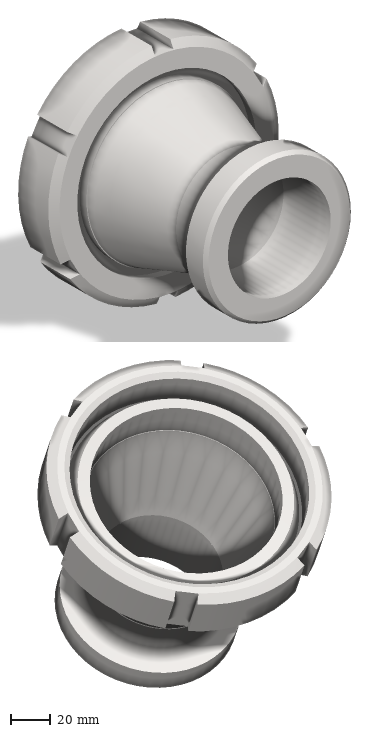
import cadquery as cq
import math


nut_diameter = 148.0
nut_length = 30.9
nut_face_diameter = 137.8
nut_chamfer_length = 2.8
thread_diameter = 124.3
thread_mouth_diameter = 130.4
thread_mouth_depth = 1.8
nut_neck_hole_diameter = 115.0
nut_lip_thickness = 5.2
slot_count = 6
slot_width = 12.0
slot_turn = 1.3

liner_front = 10.7
liner_tip = 11.4
liner_end = 31.5
liner_bore_diameter = 100.0
liner_pipe_diameter = 104.0
liner_tip_diameter = 112.5
liner_cone_diameter = 121.3
liner_shoulder = 21.2

reducer_end = 85.8
edge_step = 0.52
reducer_wide_bore_diameter = 99.3

ferrule_end = 125.5
ferrule_bore_diameter = 66.0
ferrule_pipe_diameter = 72.0
flange_diameter = 95.0
flange_chamfer = 2.0
flange_rim_front = 109.2
fillet_start = 103.3
fillet_end_diameter = 80.8
flange_back_angle = math.radians(7.5)


def turn(profile):
    """Revolve a closed (X, radius) profile about the X axis."""
    return profile.close().revolve(360, (0, 0, 0), (1, 0, 0))


def make_nut_ring():
    outer_radius = nut_diameter / 2
    face_radius = nut_face_diameter / 2
    thread_radius = thread_diameter / 2
    mouth_radius = thread_mouth_diameter / 2
    hole_radius = nut_neck_hole_diameter / 2
    lip_front = nut_length - nut_lip_thickness
    return turn(
        cq.Workplane("XY")
        .moveTo(0, mouth_radius)
        .lineTo(0, face_radius)
        .lineTo(nut_chamfer_length, outer_radius)
        .lineTo(nut_length - nut_chamfer_length, outer_radius)
        .lineTo(nut_length, face_radius)
        .lineTo(nut_length, hole_radius)
        .lineTo(lip_front, hole_radius)
        .lineTo(lip_front, thread_radius)
        .lineTo(thread_mouth_depth, thread_radius)
    )


def make_nut():
    nut = make_nut_ring()
    slot_floor = nut_face_diameter / 2
    slot_cutter = cq.Workplane("XY").box(
        nut_length, slot_width, nut_diameter / 2, centered=(False, True, False)
    ).translate((0, 0, slot_floor))
    for index in range(slot_count):
        angle = slot_turn + index * 360 / slot_count
        nut = nut.cut(slot_cutter.rotate((0, 0, 0), (1, 0, 0), angle))
    return nut


def make_liner():
    bore_radius = liner_bore_diameter / 2
    pipe_radius = liner_pipe_diameter / 2
    collar_radius = thread_diameter / 2
    collar_back = nut_length - nut_lip_thickness
    return turn(
        cq.Workplane("XY")
        .moveTo(liner_front, bore_radius)
        .lineTo(liner_tip, liner_tip_diameter / 2)
        .lineTo(liner_shoulder, liner_cone_diameter / 2)
        .lineTo(liner_shoulder, collar_radius)
        .lineTo(collar_back, collar_radius)
        .lineTo(collar_back, pipe_radius)
        .lineTo(liner_end, pipe_radius)
        .lineTo(liner_end, bore_radius)
    )


def make_reducer():
    return turn(
        cq.Workplane("XY")
        .moveTo(liner_end, reducer_wide_bore_diameter / 2)
        .lineTo(liner_end, liner_pipe_diameter / 2 - edge_step)
        .lineTo(reducer_end, ferrule_pipe_diameter / 2 - edge_step)
        .lineTo(reducer_end, ferrule_bore_diameter / 2)
    )


def make_ferrule():
    bore_radius = ferrule_bore_diameter / 2
    pipe_radius = ferrule_pipe_diameter / 2
    flange_radius = flange_diameter / 2
    fillet_end_radius = fillet_end_diameter / 2
    fillet_radius = (fillet_end_radius - pipe_radius) / (1 - math.sin(flange_back_angle))
    fillet_end = fillet_start + fillet_radius * math.cos(flange_back_angle)
    half_sweep = (math.pi / 2 - flange_back_angle) / 2
    fillet_middle = (
        fillet_start + fillet_radius * math.sin(half_sweep),
        pipe_radius + fillet_radius * (1 - math.cos(half_sweep)),
    )
    return turn(
        cq.Workplane("XY")
        .moveTo(reducer_end, bore_radius)
        .lineTo(reducer_end, pipe_radius)
        .lineTo(fillet_start, pipe_radius)
        .threePointArc(fillet_middle, (fillet_end, fillet_end_radius))
        .lineTo(flange_rim_front, flange_radius)
        .lineTo(ferrule_end - flange_chamfer, flange_radius)
        .lineTo(ferrule_end, flange_radius - flange_chamfer)
        .lineTo(ferrule_end, bore_radius)
    )


nut = make_nut()
liner = make_liner()
reducer = make_reducer()
ferrule = make_ferrule()

result = cq.Compound.makeCompound([nut.val(), liner.val(), reducer.val(), ferrule.val()])